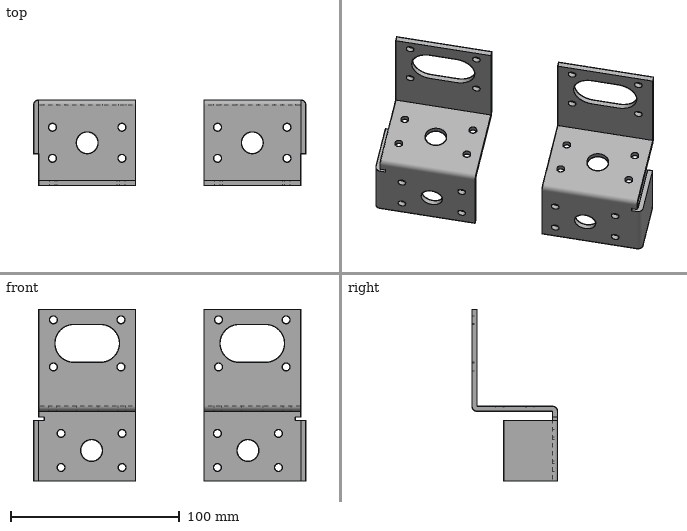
import cadquery as cq

PAIR_LENGTH = 161.3
DEPTH = 50.8
HEIGHT = 101.6

THICKNESS = 3.0

PLATE_WIDTH = 57.4
SHELF_TOP = 44.4
SHELF_BOTTOM = SHELF_TOP - THICKNESS
FLANGE_DEPTH = 32.0
FLANGE_HEIGHT = 36.0

RELIEF_HEIGHT = 2.0
RELIEF_DEPTH = 3.2

SCREW_DIAMETER = 4.5
CENTRE_HOLE_DIAMETER = 12.7

OPENING_LENGTH = 38.0
OPENING_WIDTH = 22.3
FRONT_SCREWS_X = 40.0
FRONT_SCREWS_Z = 27.9
FRONT_SCREW_MARGIN = 6.1
OPENING_Z = HEIGHT - FRONT_SCREW_MARGIN - FRONT_SCREWS_Z / 2

SHELF_SCREWS_X = 41.1
SHELF_SCREWS_Y = 18.4

REAR_SCREWS_X = 36.1
REAR_SCREWS_Z = 20.2
REAR_SCREW_MARGIN = 8.0

FLANGE_OUTER_X = -PAIR_LENGTH / 2
PLATE_OUTER_X = FLANGE_OUTER_X + THICKNESS
PLATE_INNER_X = PLATE_OUTER_X + PLATE_WIDTH
PLATE_CENTRE_X = PLATE_OUTER_X + PLATE_WIDTH / 2
REAR_PATTERN_X = PLATE_INNER_X - REAR_SCREW_MARGIN - REAR_SCREWS_X / 2
REAR_PATTERN_Z = REAR_SCREW_MARGIN + REAR_SCREWS_Z / 2

REAR_INNER_Y = DEPTH - THICKNESS


def folded_plates():
    """Z-shaped strip: front plate up, shelf across, rear plate down."""
    return (
        cq.Workplane("YZ", origin=(PLATE_OUTER_X, 0, 0))
        .moveTo(0, HEIGHT)
        .lineTo(0, SHELF_TOP)
        .radiusArc((THICKNESS, SHELF_BOTTOM), -THICKNESS)
        .lineTo(REAR_INNER_Y, SHELF_BOTTOM)
        .lineTo(REAR_INNER_Y, 0)
        .lineTo(DEPTH, 0)
        .lineTo(DEPTH, SHELF_BOTTOM)
        .radiusArc((REAR_INNER_Y, SHELF_TOP), -THICKNESS)
        .lineTo(THICKNESS, SHELF_TOP)
        .lineTo(THICKNESS, HEIGHT)
        .close()
        .extrude(PLATE_WIDTH)
    )


def side_flange():
    """Flange folded forward from the outer edge of the rear plate."""
    return (
        cq.Workplane("XY")
        .moveTo(FLANGE_OUTER_X, DEPTH - FLANGE_DEPTH)
        .lineTo(PLATE_OUTER_X, DEPTH - FLANGE_DEPTH)
        .lineTo(PLATE_OUTER_X, DEPTH)
        .radiusArc((FLANGE_OUTER_X, REAR_INNER_Y), -THICKNESS)
        .close()
        .extrude(FLANGE_HEIGHT)
    )


def relief_slit():
    """Slit that frees the flange bend from the rest of the rear plate."""
    return (
        cq.Workplane("XY", origin=(PLATE_OUTER_X, REAR_INNER_Y, FLANGE_HEIGHT))
        .box(RELIEF_DEPTH, THICKNESS, RELIEF_HEIGHT, centered=False)
    )


def screw_holes(plane, spacing_across, spacing_up):
    """Cutters for four screw holes around the origin of a plane."""
    return (
        plane.rect(spacing_across, spacing_up, forConstruction=True)
        .vertices()
        .circle(SCREW_DIAMETER / 2)
        .extrude(-THICKNESS)
    )


def hole_pattern(plane, spacing_across, spacing_up):
    """Cutters for a centre hole with four screw holes around it."""
    centre_hole = plane.circle(CENTRE_HOLE_DIAMETER / 2).extrude(-THICKNESS)
    return screw_holes(plane, spacing_across, spacing_up).union(centre_hole)


def bracket():
    """Left bracket."""
    front_plane = cq.Workplane("XZ", origin=(PLATE_CENTRE_X, 0, OPENING_Z))
    shelf_plane = cq.Workplane("XY", origin=(PLATE_CENTRE_X, DEPTH / 2, SHELF_TOP))
    rear_plane = cq.Workplane("XZ", origin=(REAR_PATTERN_X, REAR_INNER_Y, REAR_PATTERN_Z))
    opening = front_plane.slot2D(OPENING_LENGTH, OPENING_WIDTH).extrude(-THICKNESS)
    return (
        folded_plates()
        .union(side_flange())
        .cut(relief_slit())
        .cut(opening)
        .cut(screw_holes(front_plane, FRONT_SCREWS_X, FRONT_SCREWS_Z))
        .cut(hole_pattern(shelf_plane, SHELF_SCREWS_X, SHELF_SCREWS_Y))
        .cut(hole_pattern(rear_plane, REAR_SCREWS_X, REAR_SCREWS_Z))
    )


left_bracket = bracket()
right_bracket = left_bracket.mirror("YZ")

result = cq.Compound.makeCompound([left_bracket.val(), right_bracket.val()])